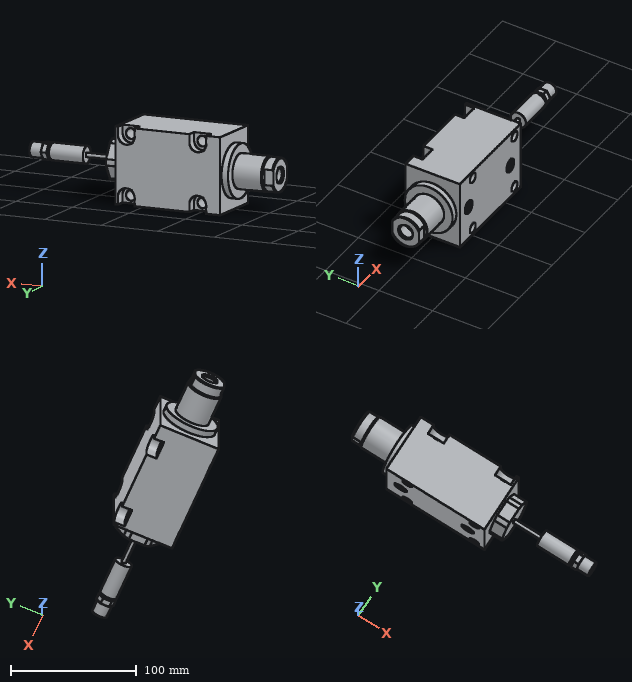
import cadquery as cq
import math

block_length = 92.6
block_width = 50.8
block_height = 63.5
block_start = 41.0
block_end = block_start + block_length

hole_dia = 8.8
pair_spacing = 63.3
first_hole_x = 60.6
hole_x = (first_hole_x, first_hole_x + pair_spacing)
hole_z = 25.2
counterbore_dia = 14.9
counterbore_depth = 8.5

first_port_x = 54.3
port_x = (first_port_x, first_port_x + pair_spacing)
seat_dia = 11.5
seat_depth = 1.0
ring_section_dia = 2 * seat_depth
port_mouth_dia = 4.4
port_dia = 2.2
port_depth = 11.0

axis_y = 0.2
flange_dia = 44.7
flange_start = 35.3
tube_dia = 29.0
tube_start = 10.0
cap_dia = 28.0
cap_end = 9.0
cap_chamfer_length = 0.9
cap_chamfer_height = 0.33
flat_half_width = 12.5
flat_length = 7.7
socket_dia = 12.0
socket_mouth_dia = 13.5
socket_chamfer_length = 1.5
socket_depth = 11.0

nut_end = 145.4
nut_across_flats = 34.0
nut_corner_dia = 36.5

cable_dia = 3.7
sleeve_start = 171.2
sleeve_end = 201.2
sleeve_dia = 14.5
neck_dia = 8.8
plug_nut_start = 203.5
plug_nut_end = 208.5
plug_nut_across_flats = 13.0
plug_dia = 12.7
plug_end = 219.0


def across_x(x):
    """Workplane square to the shared axis, with local x along Y and local y along Z."""
    return cq.Workplane("YZ", origin=(x, axis_y, 0))


def cylinder(start, end, diameter):
    return across_x(start).circle(diameter / 2).extrude(end - start)


def hexagon(start, end, across_flats):
    """Hexagonal bar with two of its corners pointing along Y."""
    corner_dia = across_flats / math.cos(math.pi / 6)
    return across_x(start).polygon(6, corner_dia).extrude(end - start)


def round_hole(x, z, diameter, depth):
    """Round cutter that enters the -Y face."""
    return (
        cq.Workplane("XZ", origin=(x, -block_width / 2, z))
        .circle(diameter / 2)
        .extrude(-depth)
    )


def open_counterbore(x, side):
    """U-shaped cutter in the +Y face, open to the top (side 1) or bottom (side -1)."""
    seat_y = block_width / 2 - counterbore_depth
    opening_length = counterbore_dia
    pocket = (
        cq.Workplane("XZ", origin=(x, seat_y, side * hole_z))
        .circle(counterbore_dia / 2)
        .extrude(-counterbore_depth)
    )
    opening = cq.Workplane("XY").box(
        counterbore_dia, counterbore_depth, opening_length, centered=(True, False, True)
    )
    opening_z = side * (hole_z + opening_length / 2)
    return pocket.union(opening.translate((x, seat_y, opening_z)))


def make_block():
    block = cq.Workplane("XY").box(block_length, block_width, block_height)
    block = block.translate((block_start + block_length / 2, 0, 0))
    for x in hole_x:
        for side in (1, -1):
            block = block.cut(round_hole(x, side * hole_z, hole_dia, block_width))
            block = block.cut(open_counterbore(x, side))
    for x in port_x:
        block = block.cut(round_hole(x, 0, seat_dia, seat_depth))
        block = block.cut(port_bore(x)).union(seal_ring(x))
    return block


def port_bore(x):
    """Countersunk bore that runs inward from the floor of the seat."""
    mouth_y = -block_width / 2 + seat_depth
    countersink_depth = (port_mouth_dia - port_dia) / 2
    profile = [
        (0, mouth_y),
        (port_mouth_dia / 2, mouth_y),
        (port_dia / 2, mouth_y + countersink_depth),
        (port_dia / 2, mouth_y + port_depth),
        (0, mouth_y + port_depth),
    ]
    bore = cq.Workplane("XY").polyline(profile).close().revolve(360, (0, 0, 0), (0, 1, 0))
    return bore.translate((x, 0, 0))


def seal_ring(x):
    """Half ring, bulging up from the floor of the seat to the block face."""
    floor_y = -block_width / 2 + seat_depth
    outer_radius = seat_dia / 2
    section_radius = ring_section_dia / 2
    ring = (
        cq.Workplane("XY")
        .moveTo(outer_radius, floor_y)
        .threePointArc(
            (outer_radius - section_radius, floor_y - section_radius),
            (outer_radius - ring_section_dia, floor_y),
        )
        .close()
        .revolve(360, (0, 0, 0), (0, 1, 0))
    )
    return ring.translate((x, 0, 0))


def make_tube():
    profile = [
        (0, socket_mouth_dia / 2),
        (0, cap_dia / 2 - cap_chamfer_height),
        (cap_chamfer_length, cap_dia / 2),
        (cap_end, cap_dia / 2),
        (tube_start, tube_dia / 2),
        (flange_start, tube_dia / 2),
        (flange_start, flange_dia / 2),
        (block_start, flange_dia / 2),
        (block_start, 0),
        (socket_depth, 0),
        (socket_depth, socket_dia / 2),
        (socket_chamfer_length, socket_dia / 2),
    ]
    tube = (
        cq.Workplane("XY", origin=(0, axis_y, 0))
        .polyline(profile)
        .close()
        .revolve(360, (0, 0, 0), (1, 0, 0))
    )
    return tube.cut(wrench_flats())


def wrench_flats():
    """Two opposed cutters, each ending in a 45 degree ramp out to the tube surface."""
    tube_radius = tube_dia / 2
    ramp = tube_radius - flat_half_width
    outline = [
        (0, flat_half_width),
        (flat_length, flat_half_width),
        (flat_length + ramp, tube_radius),
        (0, tube_radius),
    ]
    flat = (
        cq.Workplane("XY", origin=(0, axis_y, 0))
        .polyline(outline)
        .close()
        .extrude(tube_radius, both=True)
    )
    return flat.union(flat.rotate((0, axis_y, 0), (1, axis_y, 0), 180))


def make_nut():
    """Hexagonal nut with its corners turned down to a cylinder."""
    nut = hexagon(block_end, nut_end, nut_across_flats)
    return nut.intersect(cylinder(block_end, nut_end, nut_corner_dia))


def make_cable():
    cable = cylinder(nut_end, sleeve_start, cable_dia)
    cable = cable.union(cylinder(sleeve_start, sleeve_end, sleeve_dia))
    cable = cable.union(cylinder(sleeve_end, plug_nut_start, neck_dia))
    cable = cable.union(hexagon(plug_nut_start, plug_nut_end, plug_nut_across_flats))
    return cable.union(cylinder(plug_nut_end, plug_end, plug_dia))


result = make_block().union(make_tube()).union(make_nut()).union(make_cable())